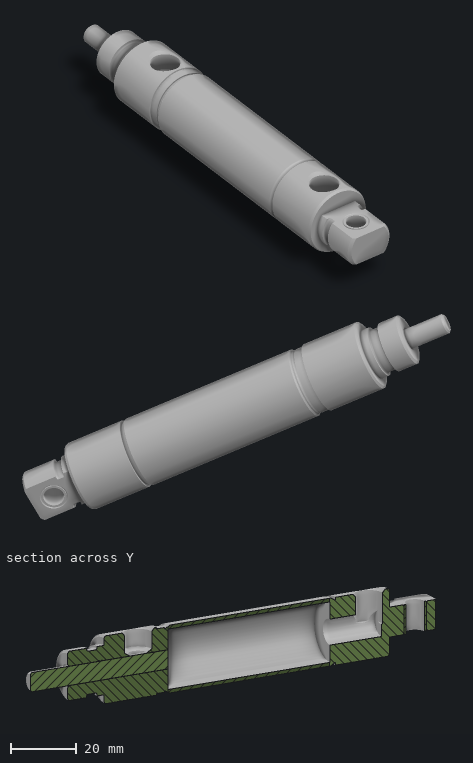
import cadquery as cq
import math

BODY_RADIUS = 21.8 / 2

ROD_RADIUS = 6.3 / 2
ROD_CHAMFER = 0.5

NOSE_START = 12.8
FRONT_BODY_START = 25.5
TUBE_START = 47.8
TUBE_END = 103.7
REAR_BODY_START = 105.7
REAR_BODY_END = 124.5
OVERALL_LENGTH = 140.5

MOUNT_RADIUS = 15.9 / 2
GROOVE_DEPTH = 1.0
GROOVE_FILLET = 0.5

NOSE_CHAMFER_LENGTH = 0.5
NOSE_CHAMFER_DEPTH = 0.8
NOSE_GROOVE_START = 19.5
NOSE_GROOVE_WIDTH = 3.5
ROD_BORE_CHAMFER = 0.5
FRONT_CHAMFER_LENGTH = 0.5
FRONT_CHAMFER_DEPTH = 0.7
COLLAR_START = 43.8
COLLAR_END = 46.6
COLLAR_RADIUS = 10.4
FRONT_GROOVE_RADIUS = 10.0
FRONT_LAND_WIDTH = 0.4

TUBE_BORE_RADIUS = 9.5
TUBE_CHAMFER = BODY_RADIUS - COLLAR_RADIUS

REAR_LAND_WIDTH = 0.4
REAR_GROOVE_RADIUS = 10.0
REAR_CHAMFER_LENGTH = 0.8
REAR_CHAMFER_DEPTH = 0.4
REAR_BORE_RADIUS = 4.1
REAR_BORE_END = 121.5

LUG_THICKNESS = 9.7
LUG_CHAMFER = 0.8
LUG_GROOVE_START = 127.0
LUG_GROOVE_WIDTH = 2.7

PIVOT_X = 133.3
BUSHING_RADIUS = 7.7 / 2
BUSHING_BORE_RADIUS = 6.3 / 2
PIVOT_CHAMFER = 0.4

FRONT_PORT_X = 37.4
REAR_PORT_X = 117.3
PORT_RADIUS = 4.6
PORT_MOUTH_RADIUS = 5.6
PORT_MOUTH_DEPTH = 1.1
FRONT_PORT_FLOOR_Z = 4.2
REAR_PORT_FLOOR_Z = 0.0
PORT_PASSAGE_RADIUS = 3.1
DRILL_POINT_ANGLE = 118.0

CUT_CLEARANCE = 0.7


def revolve_about_axis(profile):
    """Turn a closed (x, radius) profile around the X axis."""
    return profile.close().revolve(360, (0, 0, 0), (1, 0, 0))


def axial_cylinder(start, end, radius):
    """Solid cylinder centred on the X axis, from one station to another."""
    return cq.Workplane("YZ", origin=(start, 0, 0)).circle(radius).extrude(end - start)


def round_groove_cutter(start, width):
    """Ring that cuts a groove with filleted floor corners into the mount diameter."""
    end = start + width
    floor = MOUNT_RADIUS - GROOVE_DEPTH
    shoulder = floor + GROOVE_FILLET
    clear_radius = MOUNT_RADIUS + CUT_CLEARANCE
    profile = (
        cq.Workplane("XY")
        .moveTo(start, clear_radius)
        .lineTo(start, shoulder)
        .radiusArc((start + GROOVE_FILLET, floor), -GROOVE_FILLET)
        .lineTo(end - GROOVE_FILLET, floor)
        .radiusArc((end, shoulder), -GROOVE_FILLET)
        .lineTo(end, clear_radius)
    )
    return revolve_about_axis(profile)


def port_cutter(x, floor_z):
    """Air port: chamfered mouth, drilled hole and a conical floor that ends in a small flat."""
    mouth_slope = (PORT_MOUTH_RADIUS - PORT_RADIUS) / PORT_MOUTH_DEPTH
    top_z = BODY_RADIUS + CUT_CLEARANCE
    top_radius = PORT_MOUTH_RADIUS + CUT_CLEARANCE * mouth_slope
    point_depth = (PORT_RADIUS - PORT_PASSAGE_RADIUS) / math.tan(math.radians(DRILL_POINT_ANGLE / 2))
    return (
        cq.Workplane("XZ", origin=(x, 0, 0))
        .moveTo(0, floor_z - point_depth)
        .lineTo(PORT_PASSAGE_RADIUS, floor_z - point_depth)
        .lineTo(PORT_RADIUS, floor_z)
        .lineTo(PORT_RADIUS, BODY_RADIUS - PORT_MOUTH_DEPTH)
        .lineTo(top_radius, top_z)
        .lineTo(0, top_z)
        .close()
        .revolve(360, (0, 0, 0), (0, 1, 0))
    )


def make_rod():
    """Plain rod from its chamfered tip to the inner face of the front cap."""
    return axial_cylinder(0, TUBE_START, ROD_RADIUS).faces("<X").chamfer(ROD_CHAMFER)


def make_front_cap():
    """Turned cap with a grooved nose, an air port, a collar and the rod bore."""
    profile = (
        cq.Workplane("XY")
        .moveTo(NOSE_START, 0)
        .lineTo(NOSE_START, MOUNT_RADIUS - NOSE_CHAMFER_DEPTH)
        .lineTo(NOSE_START + NOSE_CHAMFER_LENGTH, MOUNT_RADIUS)
        .lineTo(FRONT_BODY_START, MOUNT_RADIUS)
        .lineTo(FRONT_BODY_START, BODY_RADIUS - FRONT_CHAMFER_DEPTH)
        .lineTo(FRONT_BODY_START + FRONT_CHAMFER_LENGTH, BODY_RADIUS)
        .lineTo(COLLAR_START, BODY_RADIUS)
        .lineTo(COLLAR_START, COLLAR_RADIUS)
        .lineTo(COLLAR_END, COLLAR_RADIUS)
        .lineTo(COLLAR_END, FRONT_GROOVE_RADIUS)
        .lineTo(TUBE_START - FRONT_LAND_WIDTH, COLLAR_RADIUS)
        .lineTo(TUBE_START, COLLAR_RADIUS)
        .lineTo(TUBE_START, 0)
    )
    rod_bore = axial_cylinder(NOSE_START, TUBE_START, ROD_RADIUS)
    port_passage = (
        cq.Workplane("XY", origin=(FRONT_PORT_X, 0, 0))
        .circle(PORT_PASSAGE_RADIUS)
        .extrude(FRONT_PORT_FLOOR_Z)
    )
    bore_chamfer = (
        cq.Workplane("XY")
        .moveTo(NOSE_START, 0)
        .lineTo(NOSE_START, ROD_RADIUS + ROD_BORE_CHAMFER)
        .lineTo(NOSE_START + ROD_BORE_CHAMFER, ROD_RADIUS)
        .lineTo(NOSE_START + ROD_BORE_CHAMFER, 0)
    )
    return (
        revolve_about_axis(profile)
        .cut(round_groove_cutter(NOSE_GROOVE_START, NOSE_GROOVE_WIDTH))
        .cut(port_cutter(FRONT_PORT_X, FRONT_PORT_FLOOR_Z))
        .cut(port_passage)
        .cut(rod_bore)
        .cut(revolve_about_axis(bore_chamfer))
    )


def make_tube():
    """Hollow barrel between the caps, with its front outer edge chamfered."""
    barrel = axial_cylinder(TUBE_START, TUBE_END, BODY_RADIUS).faces("<X").chamfer(TUBE_CHAMFER)
    return barrel.cut(axial_cylinder(TUBE_START, TUBE_END, TUBE_BORE_RADIUS))


def make_rear_cap():
    """Turned cap with a tapered groove, an air port, an air bore and a flat pivot lug."""
    profile = (
        cq.Workplane("XY")
        .moveTo(TUBE_END, 0)
        .lineTo(TUBE_END, BODY_RADIUS)
        .lineTo(TUBE_END + REAR_LAND_WIDTH, BODY_RADIUS)
        .lineTo(REAR_BODY_START, REAR_GROOVE_RADIUS)
        .lineTo(REAR_BODY_START, BODY_RADIUS)
        .lineTo(REAR_BODY_END - REAR_CHAMFER_LENGTH, BODY_RADIUS)
        .lineTo(REAR_BODY_END, BODY_RADIUS - REAR_CHAMFER_DEPTH)
        .lineTo(REAR_BODY_END, 0)
    )
    return (
        revolve_about_axis(profile)
        .union(make_lug())
        .cut(port_cutter(REAR_PORT_X, REAR_PORT_FLOOR_Z))
        .cut(axial_cylinder(TUBE_END, REAR_BORE_END, REAR_BORE_RADIUS))
    )


def make_lug():
    """Grooved round stub milled to two flats and cross-drilled for the bushing."""
    flats = cq.Workplane("XY").box(2 * OVERALL_LENGTH, 2 * BODY_RADIUS, LUG_THICKNESS)
    pivot_hole = (
        cq.Workplane("XY", origin=(PIVOT_X, 0, -LUG_THICKNESS / 2))
        .circle(BUSHING_RADIUS)
        .extrude(LUG_THICKNESS)
    )
    return (
        axial_cylinder(REAR_BODY_END, OVERALL_LENGTH, MOUNT_RADIUS)
        .faces(">X")
        .chamfer(LUG_CHAMFER)
        .cut(round_groove_cutter(LUG_GROOVE_START, LUG_GROOVE_WIDTH))
        .intersect(flats)
        .cut(pivot_hole)
        .faces("<Z or >Z")
        .edges(cq.selectors.RadiusNthSelector(0))
        .chamfer(PIVOT_CHAMFER)
    )


def make_bushing():
    """Sleeve lining the pivot hole, with its ends level with the lug flats."""
    return (
        cq.Workplane("XY", origin=(PIVOT_X, 0, -LUG_THICKNESS / 2))
        .circle(BUSHING_RADIUS)
        .circle(BUSHING_BORE_RADIUS)
        .extrude(LUG_THICKNESS)
    )


rod = make_rod()
front_cap = make_front_cap()
tube = make_tube()
rear_cap = make_rear_cap()
bushing = make_bushing()

result = cq.Compound.makeCompound([
    rod.val(),
    front_cap.val(),
    tube.val(),
    rear_cap.val(),
    bushing.val(),
])